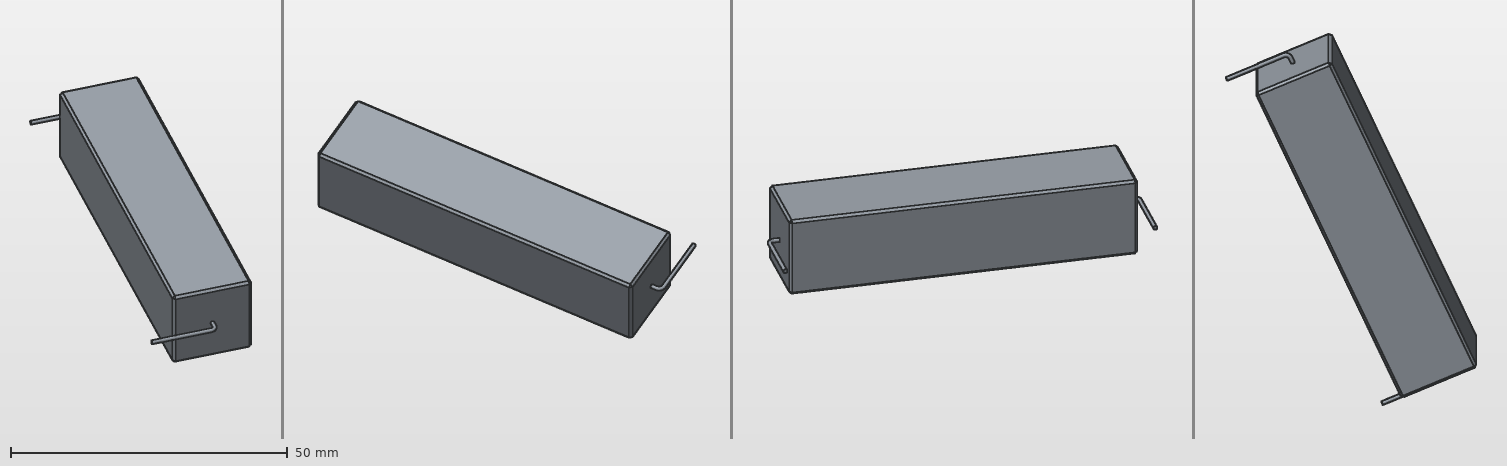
import cadquery as cq

overall_length = 69.8
overall_depth = 19.75
body_length = 65.0
body_side = 15.0
body_chamfer = 0.5
lead_diameter = 0.8
bend_radius = 1.0

body_end_x = body_length / 2
lead_x = (overall_length - lead_diameter) / 2
lead_tip_y = body_side / 2 - overall_depth
bend_start_x = lead_x - bend_radius
lead_embed = 0.7


def make_body():
    """Square bar with every edge chamfered."""
    return cq.Workplane("XY").box(body_length, body_side, body_side).edges().chamfer(body_chamfer)


def make_right_lead():
    """Round wire leaving the +X end and bending towards -Y."""
    root_x = body_end_x - lead_embed
    path = (
        cq.Workplane("XY")
        .moveTo(root_x, 0)
        .lineTo(bend_start_x, 0)
        .tangentArcPoint((lead_x, -bend_radius), relative=False)
        .lineTo(lead_x, lead_tip_y)
    )
    section = cq.Workplane("YZ", origin=(root_x, 0, 0)).circle(lead_diameter / 2)
    return section.sweep(path)


right_lead = make_right_lead()
left_lead = right_lead.mirror("YZ")
result = make_body().union(right_lead).union(left_lead)